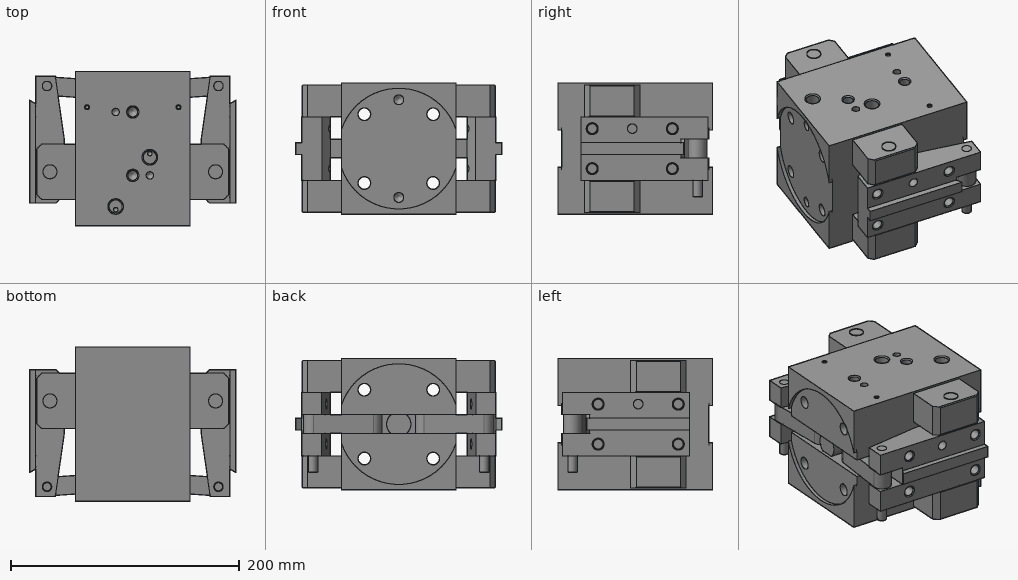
import cadquery as cq
import math


overall_width = 180.0
housing_width = 100.5
housing_length = 135.0
housing_height = 115.0
housing_side = housing_width / 2
housing_top = housing_height / 2
housing_end = housing_length / 2

recess_radius = 52.7
recess_depth = 3.2
recess_floor = housing_end - recess_depth
through_hole_radius = 5.4
through_hole_offset = 30.0
end_hole_radius = 4.3
end_hole_offset = 42.7
end_hole_depth = 14.4

drill_point_angle = 118.0
screw_hole_radius = 4.3
screw_hole_mouth_radius = 5.4
screw_hole_depth = 18.0
front_row_y = -23.4
rear_row_y = 32.0
dowel_radius = 3.2
dowel_depth = 10.8
side_column_x = 15.0
port_radius = 5.8
port_mouth_radius = 6.8
port_depth = 12.6
port_y = -7.5
rear_feed_y = -4.3
front_port_y = -50.5
front_feed_y = -53.3
feed_radius = 2.0
feed_depth = 7.2
pilot_radius = 1.5
pilot_mouth_radius = 2.2
pilot_depth = 5.4
pilot_x = 40.0
pilot_y = 36.2

jaw_height = 55.5
jaw_top = jaw_height / 2
jaw_outer_x = 85.0
jaw_inner_x = 59.8
jaw_tip_inner_x = 67.7
jaw_rear_y = 63.4
jaw_front_y = -47.5
jaw_taper_end_y = 8.5
jaw_chamfer = 7.2
tongue_height = 10.5
tongue_rear_y = 42.3
tongue_tip_angle = 30.0
jaw_hole_radius = 4.3
jaw_hole_mouth_radius = 5.2
jaw_hole_rear_y = 32.4
jaw_hole_front_y = -37.6
jaw_hole_z = 17.5
jaw_dowel_radius = 4.1
jaw_dowel_y = (jaw_hole_rear_y + jaw_hole_front_y) / 2

lug_outer_x = 84.5
lug_top = 55.8
lug_rear_y = 4.0
lug_front_y = -44.5
lug_corner_chamfer = 4.9
lug_edge_chamfer = 0.9
pivot_x = 72.4
pivot_y = (lug_rear_y + lug_front_y) / 2
pivot_radius = 6.1
pivot_setback = 0.5

link_thickness = 16.4
link_radius = link_thickness / 2
link_length = 52.2
link_angle = 4.0
link_pin_x = 74.9
link_pin_y = 54.7
link_pin_radius = 4.1
link_pin_bottom = -42.3
link_pin_chamfer = 0.5
jaw_slot_floor_y = 39.8

piston_radius = 10.6
piston_length = 72.0
piston_rear_y = 61.2
passage_front_y = 37.8

top_hole_plane = cq.Plane(origin=(0, 0, housing_top), xDir=(1, 0, 0), normal=(0, 0, 1))
front_hole_plane = cq.Plane(origin=(0, -recess_floor, 0), xDir=(1, 0, 0), normal=(0, -1, 0))


def block(x_range, y_range, z_range):
    """Box given by its limits along each axis."""
    size = [high - low for low, high in (x_range, y_range, z_range)]
    corner = (x_range[0], y_range[0], z_range[0])
    return cq.Workplane("XY").box(*size, centered=False).translate(corner)


def cylinder_z(x, y, radius, bottom, top):
    return cq.Workplane("XY", origin=(x, y, bottom)).circle(radius).extrude(top - bottom)


def cylinder_y(x, z, radius, front, rear):
    return cq.Workplane("XZ", origin=(x, front, z)).circle(radius).extrude(front - rear)


def blind_hole(plane, places, radius, depth, mouth_radius=None, pointed=True):
    """Cutters sunk into a plane, with an optional 45 degree mouth and a drill point."""
    mouth = mouth_radius or radius
    point = radius / math.tan(math.radians(drill_point_angle / 2)) if pointed else 0
    profile = cq.Workplane("XZ").lineTo(mouth, 0)
    if mouth > radius:
        profile = profile.lineTo(radius, radius - mouth)
    profile = profile.lineTo(radius, -depth)
    profile = profile.lineTo(0, -depth - point).close()
    cutter = profile.revolve(360, (0, 0, 0), (0, 1, 0)).val()
    centers = cq.Workplane(plane).pushPoints(places)
    return centers.eachpoint(lambda place: cutter.moved(place), useLocalCoordinates=True)


def on_both_sides(shape):
    """A shape built on the +X side, joined with its mirror image on the -X side."""
    return shape.union(shape.mirror("YZ"))


def lug():
    """Upper lug on the +X side, with its corners and the edges of its outer face chamfered."""
    lug_body = block((0, lug_outer_x), (lug_front_y, lug_rear_y), (jaw_top, lug_top))
    lug_body = lug_body.edges("|Z and >X").chamfer(lug_corner_chamfer)
    return lug_body.faces(">X").edges("|Y").chamfer(lug_edge_chamfer)


def end_recesses():
    front = cylinder_y(0, 0, recess_radius, -housing_end, -recess_floor)
    return front.union(front.mirror("XZ"))


def mounting_holes():
    """Four holes along the whole housing and two blind holes in the front recess."""
    through_holes = (
        cq.Workplane("XZ")
        .rect(2 * through_hole_offset, 2 * through_hole_offset, forConstruction=True)
        .vertices()
        .circle(through_hole_radius)
        .extrude(housing_end, both=True)
    )
    end_places = [(0, end_hole_offset), (0, -end_hole_offset)]
    return through_holes.union(blind_hole(front_hole_plane, end_places, end_hole_radius, end_hole_depth))


def top_holes():
    screw_places = [(0, front_row_y), (0, rear_row_y)]
    dowel_places = [(side_column_x, front_row_y), (-side_column_x, rear_row_y)]
    port_places = [(side_column_x, port_y), (-side_column_x, front_port_y)]
    feed_places = [(side_column_x, rear_feed_y), (-side_column_x, front_feed_y)]
    pilot_places = [(pilot_x, pilot_y), (-pilot_x, pilot_y)]
    return [
        blind_hole(top_hole_plane, screw_places, screw_hole_radius, screw_hole_depth, screw_hole_mouth_radius),
        blind_hole(top_hole_plane, dowel_places, dowel_radius, dowel_depth),
        blind_hole(top_hole_plane, port_places, port_radius, port_depth, port_mouth_radius, pointed=False),
        blind_hole(top_hole_plane, feed_places, feed_radius, port_depth + feed_depth),
        blind_hole(top_hole_plane, pilot_places, pilot_radius, pilot_depth, pilot_mouth_radius),
    ]


def chamber():
    """Piston bore, and the cross slot, open to the rear, that the links reach through."""
    link_passage = block(
        (-housing_side, housing_side),
        (passage_front_y, housing_end),
        (-link_radius, link_radius),
    )
    return make_piston().union(link_passage)


def make_housing():
    body = cq.Workplane("XY").box(housing_width, housing_length, housing_height)
    lugs = on_both_sides(lug())
    body = body.union(lugs).union(lugs.mirror("XY"))
    body = body.cut(end_recesses()).cut(mounting_holes()).cut(chamber())
    for holes in top_holes():
        body = body.cut(holes)
    pivot_bore = cylinder_z(pivot_x, pivot_y, pivot_radius, -lug_top, lug_top)
    return body.cut(on_both_sides(pivot_bore))


def make_piston():
    return cylinder_y(0, 0, piston_radius, piston_rear_y - piston_length, piston_rear_y)


def jaw_plate():
    outline = [
        (jaw_outer_x, jaw_front_y),
        (jaw_outer_x, jaw_rear_y),
        (jaw_tip_inner_x, jaw_rear_y),
        (jaw_inner_x, jaw_taper_end_y),
        (jaw_inner_x, jaw_front_y + jaw_chamfer),
        (jaw_inner_x + jaw_chamfer, jaw_front_y),
    ]
    return cq.Workplane("XY", origin=(0, 0, -jaw_top)).polyline(outline).close().extrude(jaw_height)


def jaw_tongue():
    """Rib along the outer face, its rear tip sloping back towards the jaw."""
    tongue_outer_x = overall_width / 2
    tip_drop = (tongue_outer_x - jaw_outer_x) * math.tan(math.radians(tongue_tip_angle))
    outline = [
        (jaw_outer_x, jaw_front_y),
        (tongue_outer_x, jaw_front_y),
        (tongue_outer_x, tongue_rear_y),
        (jaw_outer_x, tongue_rear_y - tip_drop),
    ]
    rib = cq.Workplane("XY", origin=(0, 0, -tongue_height / 2)).polyline(outline).close()
    return rib.extrude(tongue_height)


def jaw_holes():
    """Four threaded holes and one dowel hole, all through the jaw from its outer face."""
    plane = cq.Plane(origin=(jaw_outer_x, 0, 0), xDir=(0, 1, 0), normal=(1, 0, 0))
    depth = jaw_outer_x - jaw_inner_x
    screw_places = [
        (y, z) for y in (jaw_hole_front_y, jaw_hole_rear_y) for z in (-jaw_hole_z, jaw_hole_z)
    ]
    screws = blind_hole(plane, screw_places, jaw_hole_radius, depth, jaw_hole_mouth_radius, pointed=False)
    dowel = blind_hole(plane, [(jaw_dowel_y, jaw_hole_z)], jaw_dowel_radius, depth, pointed=False)
    return screws.union(dowel)


def make_jaw():
    """Jaw with its pivot pin, which runs through both lugs."""
    link_slot = block(
        (jaw_inner_x, jaw_outer_x),
        (jaw_slot_floor_y, jaw_rear_y),
        (-link_radius, link_radius),
    )
    body = jaw_plate().cut(link_slot).union(jaw_tongue()).cut(jaw_holes())
    body = body.cut(cylinder_z(link_pin_x, link_pin_y, link_pin_radius, -jaw_top, jaw_top))
    pin_end = lug_top - pivot_setback
    return body.union(cylinder_z(pivot_x, pivot_y, pivot_radius, -pin_end, pin_end))


def make_link():
    """Round-ended bar inclined to the piston, with the pin that carries the jaw."""
    bar = (
        cq.Workplane("XY", origin=(0, 0, -link_radius))
        .center(-link_length / 2, 0)
        .slot2D(link_length + link_thickness, link_thickness)
        .extrude(link_thickness)
        .rotate((0, 0, 0), (0, 0, 1), link_angle)
        .translate((link_pin_x, link_pin_y, 0))
    )
    pin = cylinder_z(link_pin_x, link_pin_y, link_pin_radius, link_pin_bottom, jaw_top)
    pin = pin.faces("<Z").chamfer(link_pin_chamfer)
    return bar.union(pin)


housing = make_housing()
piston = make_piston()
jaws = []
links = []
for side in (1, -1):
    jaw = make_jaw()
    link = make_link()
    if side < 0:
        jaw = jaw.mirror("YZ")
        link = link.mirror("YZ")
    jaws.append(jaw.val())
    links.append(link.val())

result = cq.Compound.makeCompound([housing.val(), piston.val(), *jaws, *links])